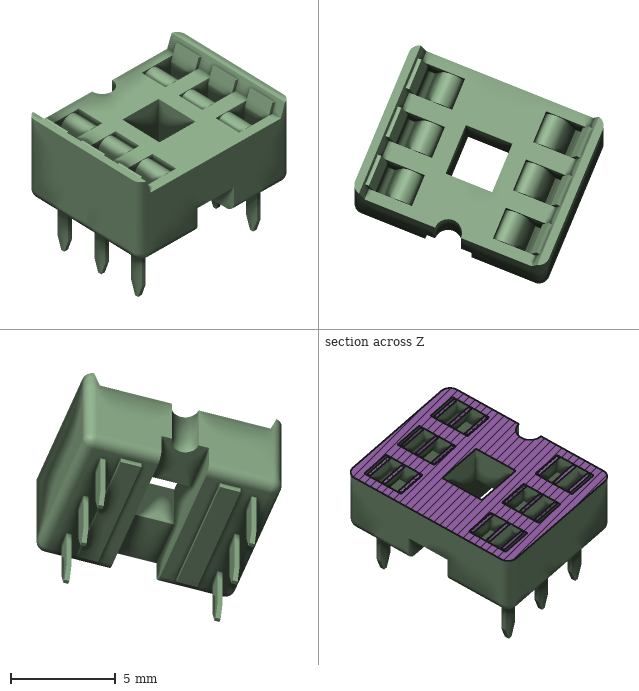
import cadquery as cq
import math

contacts_per_row = 3
pitch = 2.54
row_spacing = 3 * pitch
lean = math.radians(20)

end_margin = 0.2
length_x = contacts_per_row * pitch + end_margin
width_y = 10.0
floor_z = 4.0
wall_top_z = 4.8
wall_top_thickness = 0.4
edge_radius = 0.52
notch_radius = 0.665
tunnel_width = 2.4
tunnel_height = 1.5
center_opening_x = 2.55
standoff_length = 6.44
standoff_width = 1.04
standoff_height = 0.27
standoff_y = 2.5
wall_base_thickness = wall_top_thickness + (wall_top_z - floor_z) * math.tan(lean)

strip_thickness = 0.2
contact_width = 1.56
arch_radius = 0.6
arch_depth = 2.31
arch_top_z = floor_z
trough_wall_depth = 1.01
trough_radius = 0.2
trough_corner_depth = 1.37
bend_radius = 0.3
tab_tip_depth = 0.49

pin_thickness = 0.25
pin_width = 0.735
pin_tip_width = 0.2
pin_taper = 0.76
pin_length = 3.05

pocket_width = 1.63
pocket_inner_depth = arch_depth + arch_radius

arch_center_z = arch_top_z - arch_radius
arch_start_depth = arch_depth - arch_radius * math.cos(lean)
arch_start_z = arch_center_z + arch_radius * math.sin(lean)
trough_z = arch_start_z - (arch_start_depth - trough_corner_depth) / math.tan(lean)
pocket_floor_z = trough_z - strip_thickness


def polar(center_depth, center_z, radius, angle):
    return (center_depth + radius * math.cos(angle), center_z + radius * math.sin(angle))


def pocket_places():
    """(x, turn about Z) of every contact: the row on -Y, then the same row turned half round."""
    first_x = -pitch * (contacts_per_row - 1) / 2
    return [(first_x + i * pitch, turn) for turn in (0, 180) for i in range(contacts_per_row)]


def place(shape, x, turn):
    return shape.translate((x, 0, 0)).rotate((0, 0, 0), (0, 0, 1), turn)


def depth_box(width, depth_from, depth_to, z_from, z_to):
    """Box centred on X, spanning the given depths from the -Y face."""
    size = (width, depth_to - depth_from, z_to - z_from)
    corner = (-width / 2, depth_from - width_y / 2, z_from)
    return cq.Workplane("XY").box(*size, centered=False).translate(corner)


def spring_strip():
    """Bent strip: leaning tab, trough, rising leg and arch."""
    bend_depth = trough_wall_depth - bend_radius
    tip_run = (tab_tip_depth - bend_depth) * math.cos(lean)
    outer_bend = bend_radius - strip_thickness
    tip_z = wall_top_z - (tab_tip_depth - wall_top_thickness) / math.tan(lean)
    bend_z = tip_z + (tip_run - outer_bend) / math.sin(lean)
    tip_outer = (tab_tip_depth, tip_z)
    tip_inner = (tab_tip_depth + strip_thickness * math.cos(lean), tip_z + strip_thickness * math.sin(lean))

    trough_center = (trough_wall_depth + trough_radius, trough_z + trough_radius)
    outer_trough = trough_radius + strip_thickness
    trough_mid = math.radians(225)
    leg_corner_depth = trough_corner_depth + strip_thickness / math.cos(lean) - strip_thickness * math.tan(lean)

    arch = (arch_depth, arch_center_z)
    inner_arch = arch_radius - strip_thickness
    arch_start = math.pi - lean
    arch_mid = arch_start / 2

    return (
        cq.Workplane("YZ")
        .moveTo(*tip_outer)
        .lineTo(*tip_inner)
        .lineTo(*polar(bend_depth, bend_z, bend_radius, lean))
        .threePointArc(
            polar(bend_depth, bend_z, bend_radius, lean / 2),
            (trough_wall_depth, bend_z),
        )
        .lineTo(trough_wall_depth, trough_center[1])
        .threePointArc(
            polar(*trough_center, trough_radius, trough_mid),
            (trough_center[0], trough_z),
        )
        .lineTo(trough_corner_depth, trough_z)
        .lineTo(arch_start_depth, arch_start_z)
        .threePointArc(
            polar(*arch, arch_radius, arch_mid),
            polar(*arch, arch_radius, 0),
        )
        .lineTo(*polar(*arch, inner_arch, 0))
        .threePointArc(
            polar(*arch, inner_arch, arch_mid),
            polar(*arch, inner_arch, arch_start),
        )
        .lineTo(leg_corner_depth, pocket_floor_z)
        .lineTo(trough_center[0], pocket_floor_z)
        .threePointArc(
            polar(*trough_center, outer_trough, trough_mid),
            polar(*trough_center, outer_trough, math.pi),
        )
        .lineTo(bend_depth + outer_bend, bend_z)
        .threePointArc(
            polar(bend_depth, bend_z, outer_bend, lean / 2),
            polar(bend_depth, bend_z, outer_bend, lean),
        )
        .close()
        .extrude(contact_width / 2, both=True)
        .translate((0, -width_y / 2, 0))
    )


def pin():
    """Flat pin with a tapered end, reaching up into the trough floor."""
    taper_z = pin_taper - pin_length
    half_outline = [
        (pin_width / 2, trough_z),
        (pin_width / 2, taper_z),
        (pin_tip_width / 2, -pin_length),
    ]
    other_half = [(-x, z) for x, z in reversed(half_outline)]
    return (
        cq.Workplane("XZ")
        .polyline(half_outline + other_half)
        .close()
        .extrude(pin_thickness / 2, both=True)
        .translate((0, -row_spacing / 2, 0))
    )


def make_contact():
    return spring_strip().union(pin())


def guide_walls_cut():
    """Trapezoid above the floor that leaves a sloped guide wall along each long face."""
    base_y = width_y / 2 - wall_base_thickness
    top_y = width_y / 2 - wall_top_thickness
    return (
        cq.Workplane("YZ")
        .polyline([(-base_y, floor_z), (base_y, floor_z), (top_y, wall_top_z), (-top_y, wall_top_z)])
        .close()
        .extrude(length_x, both=True)
    )


def contact_pocket():
    """Pocket that holds the spring, with a slot through the underside for the pin."""
    pin_depth = (width_y - row_spacing) / 2
    half_pin = pin_thickness / 2
    spring_room = depth_box(
        pocket_width, wall_base_thickness, pocket_inner_depth, pocket_floor_z, wall_top_z
    )
    pin_slot = depth_box(pin_width, pin_depth - half_pin, pin_depth + half_pin, 0, pocket_floor_z)
    return spring_room.union(pin_slot)


def make_housing():
    body = (
        cq.Workplane("XY")
        .box(length_x, width_y, wall_top_z, centered=(True, True, False))
        .edges("|Z or <Z")
        .fillet(edge_radius)
        .cut(guide_walls_cut())
    )
    tunnel = cq.Workplane("XY").box(length_x, tunnel_width, tunnel_height, centered=(True, True, False))
    opening = cq.Workplane("XY").rect(center_opening_x, tunnel_width).extrude(wall_top_z)
    notch = cq.Workplane("XY").center(-length_x / 2, 0).circle(notch_radius).extrude(wall_top_z)
    body = body.cut(tunnel).cut(opening).cut(notch)

    standoffs = (
        cq.Workplane("XY")
        .pushPoints([(0, -standoff_y), (0, standoff_y)])
        .rect(standoff_length, standoff_width)
        .extrude(-standoff_height)
    )
    body = body.union(standoffs)

    pocket = contact_pocket()
    for x, turn in pocket_places():
        body = body.cut(place(pocket, x, turn))
    return body


housing = make_housing()
contact = make_contact()
contacts = [place(contact, x, turn) for x, turn in pocket_places()]

result = cq.Compound.makeCompound([housing.val(), *[c.val() for c in contacts]])